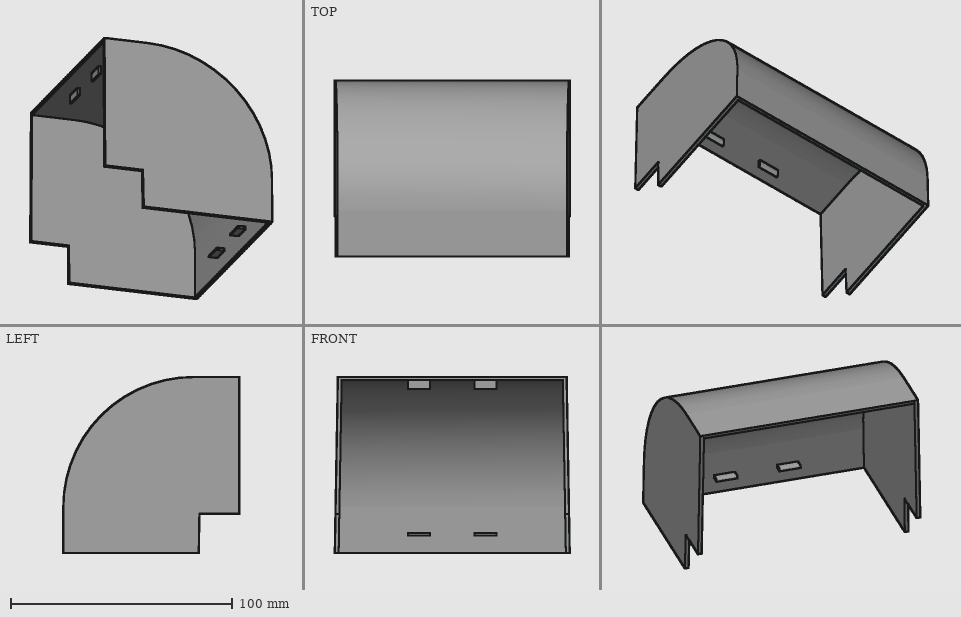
import cadquery as cq
import math

width = 106.3
size = 79.6
straight = 20.6
wall = 1.5
side_wall = 1.8
draft_angle = 1.0
notch_height = 17.8
notch_bottom_depth = 18.3

rib_width = 10.0
rib_spacing = 30.0
rib_height = 4.0
rib_thickness = 1.2
rib_setback = 8.0

draft_slope = math.tan(math.radians(draft_angle))
bend_radius = size - straight
notch_top_depth = notch_bottom_depth - notch_height * draft_slope
overrun = 1.1


def bent_block(offset, overhang):
    """Solid under the bend, inset from its outer face and extended past the openings."""
    radius = bend_radius - offset
    outer = straight + radius
    diagonal = straight + radius * math.sqrt(0.5)
    return (
        cq.Workplane("YZ")
        .moveTo(-overhang, -overhang)
        .lineTo(-overhang, outer)
        .lineTo(straight, outer)
        .threePointArc((diagonal, diagonal), (outer, straight))
        .lineTo(outer, -overhang)
        .close()
        .extrude(width / 2 + overrun, both=True)
    )


def drafted_block(offset):
    """Trapezoid between the leaning side walls, inset from their outer faces."""
    low = -2 * overrun
    high = size + 2 * overrun
    half_low = width / 2 - offset - low * draft_slope
    half_high = width / 2 - offset - high * draft_slope
    return (
        cq.Workplane("XZ", origin=(0, size + 2 * overrun, 0))
        .polyline([(-half_low, low), (half_low, low), (half_high, high), (-half_high, high)])
        .close()
        .extrude(size + 4 * overrun)
    )


def corner_notch():
    """Cutter for the inner corner of both side walls."""
    return (
        cq.Workplane("YZ")
        .polyline([(0, 0), (notch_bottom_depth, 0), (notch_top_depth, notch_height), (0, notch_height)])
        .close()
        .extrude(width, both=True)
    )


def retaining_rib(x_center, on_ceiling):
    """Rib with a flat face toward the nearest opening and a quarter-round tip behind it."""
    root = size - wall / 2
    tip = size - wall - rib_height
    back = rib_setback + rib_thickness
    shoulder = tip + rib_thickness
    arc_middle = (
        rib_setback + rib_thickness * math.sqrt(0.5),
        shoulder - rib_thickness * math.sqrt(0.5),
    )
    profile = [(rib_setback, root), (rib_setback, tip), arc_middle, (back, shoulder), (back, root)]
    if not on_ceiling:
        profile = [(z, y) for y, z in profile]
    root_front, tip_point, arc_point, shoulder_point, root_back = profile
    return (
        cq.Workplane("YZ", origin=(x_center, 0, 0))
        .moveTo(*root_front)
        .lineTo(*tip_point)
        .threePointArc(arc_point, shoulder_point)
        .lineTo(*root_back)
        .close()
        .extrude(rib_width / 2, both=True)
    )


outer_body = bent_block(0, 0).intersect(drafted_block(0))
cavity = bent_block(wall, overrun).intersect(drafted_block(side_wall))
result = outer_body.cut(cavity).cut(corner_notch())

for x_center in (-rib_spacing / 2, rib_spacing / 2):
    for on_ceiling in (True, False):
        result = result.union(retaining_rib(x_center, on_ceiling))